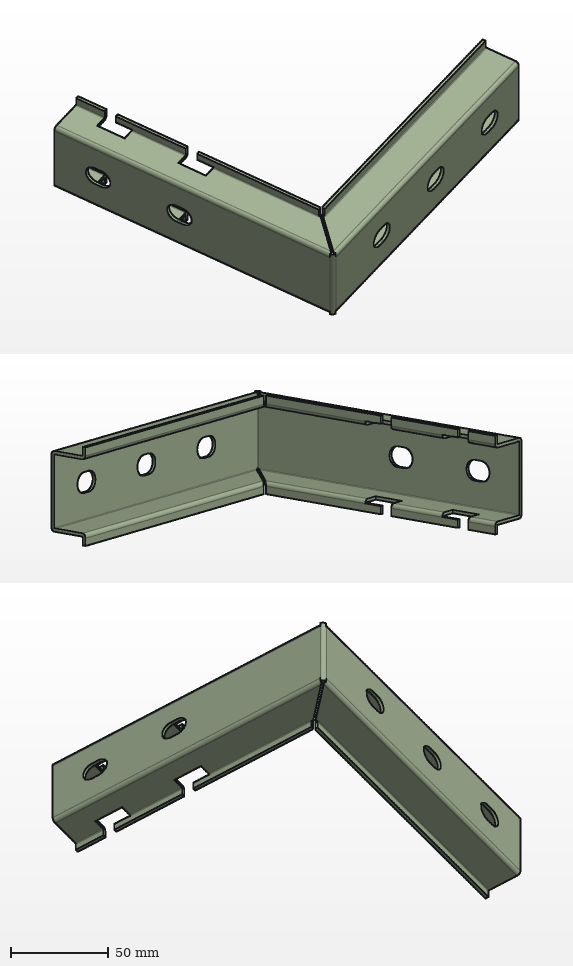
import cadquery as cq
import math


leg_length = 172.0
total_height = 52.0
leg_depth = 22.2
channel_height = 42.7

sheet = 1.9
inner_radius = 0.3
outer_radius = sheet + inner_radius

miter_gap = 1.2
lip_setback = 0.3

slot_length = 15.0
slot_width = 11.0
first_slot = 27.0
pitch = 50.0
front_slots = 2
side_slots = 3

notch_start = 17.5
notch_length = 16.9
lip_opening = 6.9
notch_depth = 8.8
notches = 2

half_height = total_height / 2
half_channel = channel_height / 2
web_end = leg_length - outer_radius
lip_end = leg_length - leg_depth - lip_setback
lip_face = leg_depth - sheet
inner_face = half_channel - sheet
flange_bend = half_channel - outer_radius
lip_bend = half_channel + inner_radius


def block(x_range, y_range, z_range):
    """Box spanning the given pairs of limits."""
    sizes = [end - start for start, end in (x_range, y_range, z_range)]
    corner = (x_range[0], y_range[0], z_range[0])
    return cq.Workplane("XY").box(*sizes, centered=False).translate(corner)


def upper_section():
    """Upper half of the hat section: web, flange and outward lip."""
    return (
        cq.Workplane("YZ")
        .lineTo(0, flange_bend)
        .radiusArc((outer_radius, half_channel), outer_radius)
        .lineTo(lip_face - inner_radius, half_channel)
        .radiusArc((lip_face, lip_bend), -inner_radius)
        .lineTo(lip_face, half_height)
        .lineTo(leg_depth, half_height)
        .lineTo(leg_depth, lip_bend)
        .radiusArc((leg_depth - outer_radius, inner_face), outer_radius)
        .lineTo(outer_radius, inner_face)
        .radiusArc((sheet, flange_bend), -inner_radius)
        .lineTo(sheet, 0)
        .close()
        .extrude(web_end)
    )


def miter_waste():
    """Wedge beyond the mitered ends of the flanges, including half of the gap."""
    line_end = leg_length - miter_gap / 2 * math.sqrt(2)
    return (
        cq.Workplane("XY")
        .moveTo(line_end - outer_radius, outer_radius)
        .lineTo(leg_length, outer_radius)
        .lineTo(leg_length, leg_depth)
        .lineTo(line_end - leg_depth, leg_depth)
        .close()
        .extrude(half_height)
    )


def plain_leg(slots):
    """Mitered leg with a row of slots through its web."""
    lip_waste = block((lip_end, leg_length), (lip_face, leg_depth), (lip_bend, half_height))
    upper = upper_section().cut(miter_waste()).cut(lip_waste)
    leg = upper.union(upper.mirror("XY"))
    slot_row = (
        cq.Workplane("XZ")
        .pushPoints([(first_slot + i * pitch, 0) for i in range(slots)])
        .slot2D(slot_length, slot_width)
        .extrude(-sheet)
    )
    return leg.cut(slot_row)


def notch(start):
    """Opening through both lips that widens into a longer window in the flanges and lip bends."""
    y_range = (leg_depth - notch_depth, leg_depth)
    opening = block((start, start + lip_opening), y_range, (-half_height, half_height))
    window = block((start, start + notch_length), y_range, (-lip_bend, lip_bend))
    return opening.union(window)


def corner_bend():
    """Quarter-round bend joining the two webs."""
    ring = (
        cq.Workplane("XY")
        .circle(outer_radius)
        .circle(inner_radius)
        .extrude(channel_height)
        .translate((web_end, outer_radius, -half_channel))
    )
    quarter = block((web_end, leg_length), (0, outer_radius), (-half_channel, half_channel))
    return ring.intersect(quarter)


front_leg = plain_leg(front_slots)
for index in range(notches):
    front_leg = front_leg.cut(notch(notch_start + index * pitch))

side_leg = plain_leg(side_slots).rotate((leg_length, 0, 0), (0, leg_length, 0), 180)

result = front_leg.union(corner_bend()).union(side_leg)